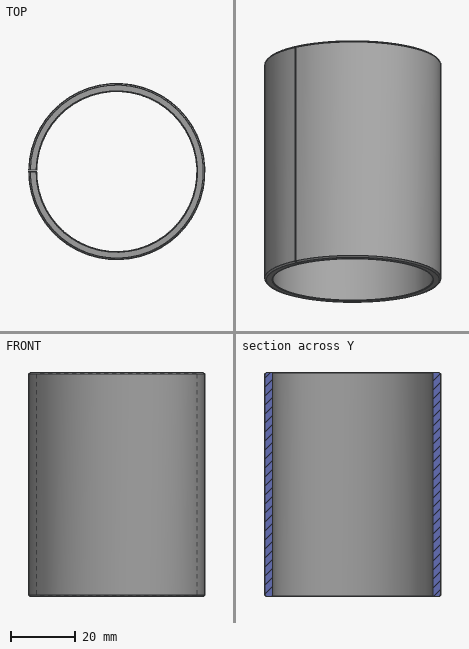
import cadquery as cq

outer_diameter = 55.0
wall_thickness = 2.5
length = 70.0
outer_chamfer = 0.5
inner_chamfer = 0.2
gap_angle = 1.0

outer_radius = outer_diameter / 2
inner_radius = outer_radius - wall_thickness
half_length = length / 2


def make_wall_profile():
    """Wall section at the joint on the -X side, chamfered at all four corners."""
    return (
        cq.Workplane("XZ")
        .moveTo(-inner_radius, -half_length + inner_chamfer)
        .lineTo(-inner_radius - inner_chamfer, -half_length)
        .lineTo(-outer_radius + outer_chamfer, -half_length)
        .lineTo(-outer_radius, -half_length + outer_chamfer)
        .lineTo(-outer_radius, half_length - outer_chamfer)
        .lineTo(-outer_radius + outer_chamfer, half_length)
        .lineTo(-inner_radius - inner_chamfer, half_length)
        .lineTo(-inner_radius, half_length - inner_chamfer)
        .close()
    )


def make_split_bush():
    """Sweep the wall from the XZ plane through -Y around to the +Y side of the joint."""
    axis_start = (0, 0, 0)
    axis_end = (0, 1, 0)
    return make_wall_profile().revolve(360 - gap_angle, axis_start, axis_end)


result = make_split_bush()